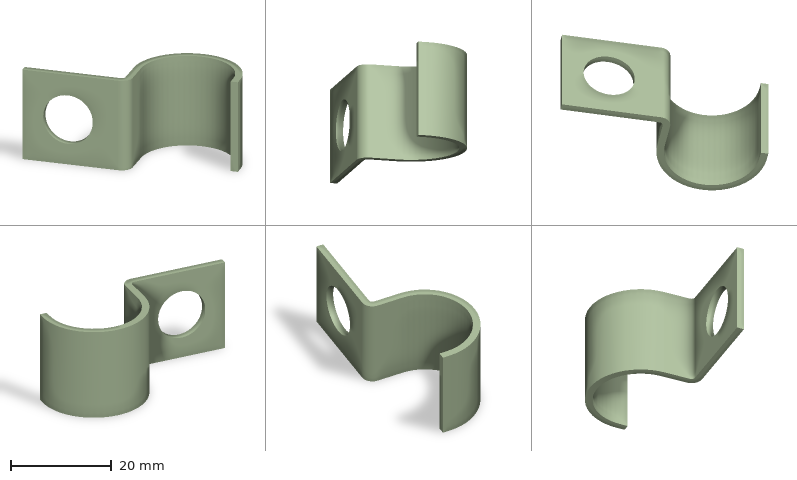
import cadquery as cq

length = 42.8
height = 18.95
strip_width = 19.05
thickness = 1.5

saddle_radius = 11.05
free_end_length = 1.6

bend_inner_radius = 0.75
bend_outer_radius = bend_inner_radius + thickness

hole_diameter = 10.3
hole_from_end = 9.5

saddle_x = length - saddle_radius
saddle_y = height - saddle_radius
saddle_inner_radius = saddle_radius - thickness
leg_outer_x = saddle_x - saddle_radius
leg_inner_x = leg_outer_x + thickness
free_end_y = saddle_y - free_end_length
bend_x = leg_outer_x - bend_inner_radius
bend_y = bend_outer_radius


def make_strip():
    """Bent strip: flat foot, rounded bend, upright leg and half-round saddle."""
    return (
        cq.Workplane("XY")
        .lineTo(bend_x, 0)
        .radiusArc((leg_inner_x, bend_y), -bend_outer_radius)
        .lineTo(leg_inner_x, saddle_y)
        .threePointArc(
            (saddle_x, saddle_y + saddle_inner_radius),
            (saddle_x + saddle_inner_radius, saddle_y),
        )
        .lineTo(length - thickness, free_end_y)
        .lineTo(length, free_end_y)
        .lineTo(length, saddle_y)
        .threePointArc((saddle_x, height), (leg_outer_x, saddle_y))
        .lineTo(leg_outer_x, bend_y)
        .radiusArc((bend_x, thickness), bend_inner_radius)
        .lineTo(0, thickness)
        .close()
        .extrude(strip_width)
    )


def make_screw_hole():
    """Cylinder that passes through the foot, centred across the strip."""
    return (
        cq.Workplane("XZ")
        .center(hole_from_end, strip_width / 2)
        .circle(hole_diameter / 2)
        .extrude(-thickness)
    )


result = make_strip().cut(make_screw_hole())